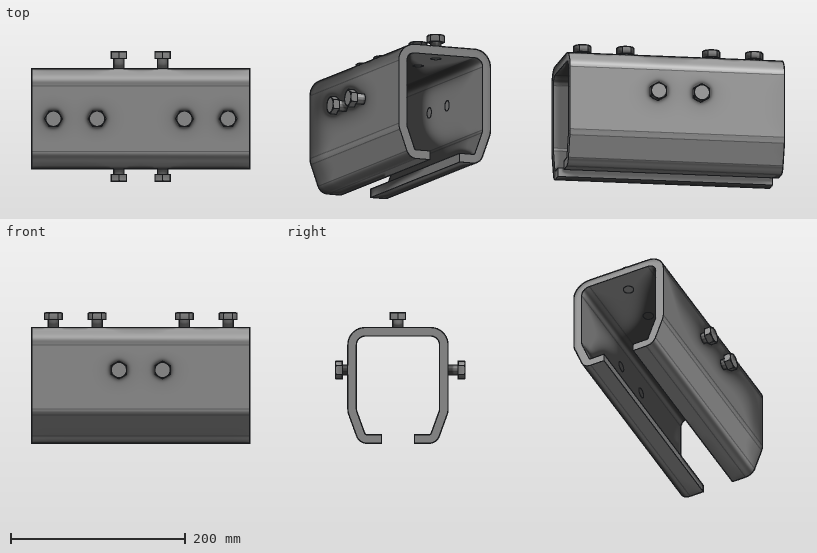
import cadquery as cq
import math

LENGTH = 250.0
WIDTH = 115.0
HEIGHT = 132.8
WALL = 10.0
SLOT_WIDTH = 37.5
BEND_HEIGHT = 36.0
BEND_ANGLE = 20.0
TOP_INNER_RADIUS = 10.0
BEND_INNER_RADIUS = 10.0
LIP_INNER_RADIUS = 2.5

SHANK_DIAMETER = 12.0
HEAD_SIDES = 6
HEAD_FLATS = 17.8
HEAD_HEIGHT = 8.0
HEAD_CHAMFER_ANGLE = 30.0
HEAD_FACE_DIAMETER = 17.5

TOP_STANDOFF = 9.0
FRONT_STANDOFF = 6.2
BACK_STANDOFF = 11.5

BOLT_PITCH = 50.0
END_MARGIN = 25.0
SIDE_BOLT_HEIGHT = 84.0

TOP_BOLT_XS = [
    END_MARGIN,
    END_MARGIN + BOLT_PITCH,
    LENGTH - END_MARGIN - BOLT_PITCH,
    LENGTH - END_MARGIN,
]
SIDE_BOLT_XS = [LENGTH / 2 - BOLT_PITCH / 2, LENGTH / 2 + BOLT_PITCH / 2]


def channel_prism(offset):
    """Solid prism along X with the channel's rounded outer shape, shrunk inward by offset."""
    tilt = math.radians(BEND_ANGLE)
    half_width = WIDTH / 2 - offset
    bend_z = BEND_HEIGHT + offset * math.tan(tilt / 2)
    bottom_half_width = half_width - (bend_z - offset) * math.tan(tilt)
    outline = [
        (-bottom_half_width, offset),
        (bottom_half_width, offset),
        (half_width, bend_z),
        (half_width, HEIGHT - offset),
        (-half_width, HEIGHT - offset),
        (-half_width, bend_z),
    ]
    growth = WALL - offset
    prism = cq.Workplane("YZ").polyline(outline).close().extrude(LENGTH)
    prism = prism.edges("|X").edges(">Z").fillet(TOP_INNER_RADIUS + growth)
    prism = prism.edges("|X").edges("<Z").fillet(LIP_INNER_RADIUS + growth)
    bend_edges = cq.selectors.BoxSelector(
        (0, -WIDTH, bend_z - WALL / 4), (LENGTH, WIDTH, bend_z + WALL / 4)
    )
    return prism.edges("|X").edges(bend_edges).fillet(BEND_INNER_RADIUS + growth)


def make_bolt(standoff):
    """Bolt along +Z: shank from the rail's inner face (Z = -WALL), head above the standoff."""
    head_corners = HEAD_FLATS / math.cos(math.pi / HEAD_SIDES)
    slope = math.tan(math.radians(HEAD_CHAMFER_ANGLE))
    head = cq.Workplane("XY").workplane(offset=standoff).polygon(HEAD_SIDES, head_corners).extrude(HEAD_HEIGHT)
    chamfer_cone = cq.Workplane(
        cq.Solid.makeCone(
            HEAD_FACE_DIAMETER / 2 + HEAD_HEIGHT / slope,
            HEAD_FACE_DIAMETER / 2,
            HEAD_HEIGHT,
            pnt=cq.Vector(0, 0, standoff),
        )
    )
    shank = cq.Workplane("XY").workplane(offset=-WALL).circle(SHANK_DIAMETER / 2).extrude(WALL + standoff)
    return head.intersect(chamfer_cone).union(shank)


def make_top_bolt(x):
    return make_bolt(TOP_STANDOFF).translate((x, 0, HEIGHT))


def make_side_bolt(x, side, standoff):
    """Side bolt with two head corners up and down; side is -1 for the front, +1 for the back."""
    bolt = make_bolt(standoff).rotate((0, 0, 0), (0, 0, 1), 90)
    bolt = bolt.rotate((0, 0, 0), (1, 0, 0), -90 * side)
    return bolt.translate((x, side * WIDTH / 2, SIDE_BOLT_HEIGHT))


bolts = [make_top_bolt(x) for x in TOP_BOLT_XS]
for x in SIDE_BOLT_XS:
    bolts.append(make_side_bolt(x, -1, FRONT_STANDOFF))
    bolts.append(make_side_bolt(x, 1, BACK_STANDOFF))

rail = channel_prism(0).cut(channel_prism(WALL))
rail = rail.cut(cq.Workplane("XY").box(LENGTH, SLOT_WIDTH, WALL, centered=(False, True, False)))
for bolt in bolts:
    rail = rail.cut(bolt)

result = cq.Compound.makeCompound([rail.val(), *[bolt.val() for bolt in bolts]])